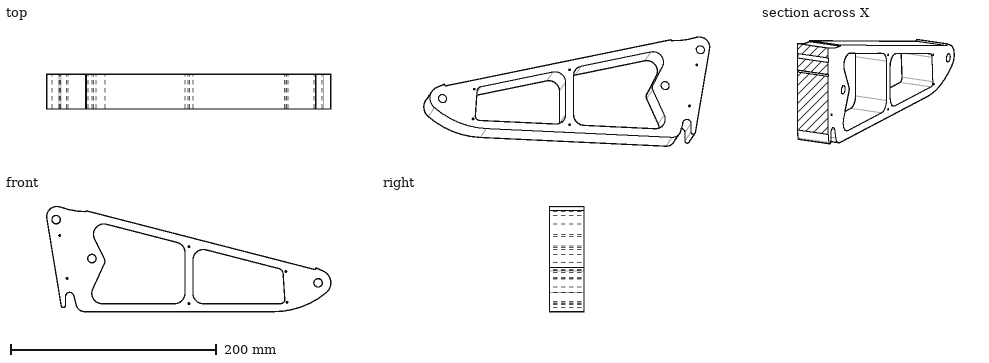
import cadquery as cq
import math

LENGTH = 276.51
WIDTH = 34.0
HEIGHT = 102.5

WALL = 8.0
PIVOT_DIAMETER = 8.0
PIN_DIAMETER = 1.5

HEAD_RADIUS = 10.0
HEAD_CENTER = (HEAD_RADIUS, HEIGHT - HEAD_RADIUS)
HEAD_END_ANGLE = 78.0

SADDLE_RADIUS = 70.0
SADDLE_START = (13.9, 101.85)
SADDLE_END = (37.7, 97.5)

RAIL_START = (38.7, 98.3)
RAIL_END = (261.3, 41.1)

NOSE_RADIUS = 12.5
NOSE_CENTER = (LENGTH - NOSE_RADIUS, 28.2)
LIP_X = 262.0
LIP_CONTACT_ANGLE = 65.5

BELLY_RADIUS = 80.0

SLOT_RADIUS = 4.0
SLOT_CENTER = (22.5, 14.8)
FINGER_RADIUS = 2.2
FINGER_BOTTOM = 4.1
HEEL_RADIUS = 9.0
HEEL_LEAN = 14.0

RIB_CENTER_X = 138.45
WINDOW_RADIUS = 10.0
WINDOW_LEFT_TOP_X = 37.2
THROAT_TIP = (57.4, 49.2)
THROAT_TIP_RADIUS = 5.0
WINDOW_LEFT_BOTTOM_X = 38.5
END_WALL_BOTTOM_X = 231.8
END_WALL_TOP_X = 229.6
END_TOP_RADIUS = 5.0
END_BOTTOM_RADIUS = 4.0

PIVOTS = [(9.3, 89.6), (44.1, 51.8), NOSE_CENTER]
PINS = [
    (12.8, 74.2),
    (20.0, 32.5),
    (RIB_CENTER_X, 63.3),
    (RIB_CENTER_X, WALL),
    (232.7, 39.2),
    (233.8, 9.2),
]


def polar(center, radius, degrees):
    """Point at a given angle on a circle."""
    angle = math.radians(degrees)
    return (center[0] + radius * math.cos(angle), center[1] + radius * math.sin(angle))


def add_arc(path, center, radius, start, end):
    """Draw a line to the start of an arc, then the arc itself."""
    path = path.lineTo(*polar(center, radius, start))
    return path.threePointArc(polar(center, radius, (start + end) / 2), polar(center, radius, end))


def left_edge_angle(finger_center):
    """Angle of the normal of the line tangent to both the head and the finger."""
    dx = finger_center[0] - HEAD_CENTER[0]
    dz = HEAD_CENTER[1] - finger_center[1]
    taper = math.asin((HEAD_RADIUS - FINGER_RADIUS) / math.hypot(dx, dz))
    return 180 + math.degrees(math.atan2(dx, dz) + taper)


def side_plane():
    """Sketch plane whose extrusion runs from Y = 0 to Y = WIDTH."""
    return cq.Workplane("XZ", origin=(0, WIDTH, 0))


def make_body():
    finger_center = (SLOT_CENTER[0] - SLOT_RADIUS - FINGER_RADIUS, FINGER_BOTTOM + FINGER_RADIUS)
    edge_angle = left_edge_angle(finger_center)

    lean = math.radians(HEEL_LEAN)
    drop = SLOT_CENTER[1] - HEEL_RADIUS
    heel_run = (SLOT_RADIUS + HEEL_RADIUS) / math.cos(lean) + drop * math.tan(lean)
    heel_center = (SLOT_CENTER[0] + heel_run, HEEL_RADIUS)

    belly_rise = BELLY_RADIUS - NOSE_CENTER[1]
    belly_run = math.sqrt((BELLY_RADIUS - NOSE_RADIUS) ** 2 - belly_rise ** 2)
    belly_center = (NOSE_CENTER[0] - belly_run, BELLY_RADIUS)
    belly_angle = -math.degrees(math.atan2(belly_rise, belly_run))

    lip_contact = polar(NOSE_CENTER, NOSE_RADIUS, LIP_CONTACT_ANGLE)
    lip_z = lip_contact[1] + (lip_contact[0] - LIP_X) / math.tan(math.radians(LIP_CONTACT_ANGLE))

    path = side_plane().moveTo(*polar(HEAD_CENTER, HEAD_RADIUS, edge_angle))
    path = add_arc(path, finger_center, FINGER_RADIUS, edge_angle, 360)
    path = add_arc(path, SLOT_CENTER, SLOT_RADIUS, 180, HEEL_LEAN)
    path = add_arc(path, heel_center, HEEL_RADIUS, 180 + HEEL_LEAN, 270)
    path = path.lineTo(belly_center[0], 0)
    path = path.threePointArc(
        polar(belly_center, BELLY_RADIUS, (belly_angle - 90) / 2),
        polar(belly_center, BELLY_RADIUS, belly_angle),
    )
    path = path.threePointArc(
        polar(NOSE_CENTER, NOSE_RADIUS, (belly_angle + LIP_CONTACT_ANGLE) / 2),
        lip_contact,
    )
    path = path.lineTo(LIP_X, lip_z).lineTo(*RAIL_END).lineTo(*RAIL_START).lineTo(*SADDLE_END)
    path = path.radiusArc(SADDLE_START, SADDLE_RADIUS)
    path = path.lineTo(*polar(HEAD_CENTER, HEAD_RADIUS, HEAD_END_ANGLE))
    path = path.threePointArc(
        polar(HEAD_CENTER, HEAD_RADIUS, (HEAD_END_ANGLE + edge_angle) / 2),
        polar(HEAD_CENTER, HEAD_RADIUS, edge_angle),
    )
    return path.close().extrude(WIDTH)


def rail_inner_z(x):
    """Height of the inner face of the top rail at x."""
    slope = (RAIL_END[1] - RAIL_START[1]) / (RAIL_END[0] - RAIL_START[0])
    return RAIL_START[1] + slope * (x - RAIL_START[0]) - WALL * math.hypot(1, slope)


def make_window(corners):
    """Prism through the width; each corner is (x, z, corner radius)."""
    window = side_plane().polyline([(x, z) for x, z, _ in corners]).close().extrude(WIDTH)
    for x, z, radius in corners:
        corner_edge = cq.selectors.NearestToPointSelector((x, WIDTH / 2, z))
        window = window.edges("|Y").edges(corner_edge).fillet(radius)
    return window


def make_left_window():
    right_x = RIB_CENTER_X - WALL / 2
    left_x = WINDOW_LEFT_TOP_X
    return make_window([
        (left_x, rail_inner_z(left_x), WINDOW_RADIUS),
        (right_x, rail_inner_z(right_x), WINDOW_RADIUS),
        (right_x, WALL, WINDOW_RADIUS),
        (WINDOW_LEFT_BOTTOM_X, WALL, WINDOW_RADIUS),
        (*THROAT_TIP, THROAT_TIP_RADIUS),
    ])


def make_right_window():
    left_x = RIB_CENTER_X + WALL / 2
    return make_window([
        (left_x, rail_inner_z(left_x), WINDOW_RADIUS),
        (END_WALL_TOP_X, rail_inner_z(END_WALL_TOP_X), END_TOP_RADIUS),
        (END_WALL_BOTTOM_X, WALL, END_BOTTOM_RADIUS),
        (left_x, WALL, WINDOW_RADIUS),
    ])


def make_holes(centers, diameter):
    return side_plane().pushPoints(centers).circle(diameter / 2).extrude(WIDTH)


result = (
    make_body()
    .cut(make_left_window())
    .cut(make_right_window())
    .cut(make_holes(PIVOTS, PIVOT_DIAMETER))
    .cut(make_holes(PINS, PIN_DIAMETER))
)